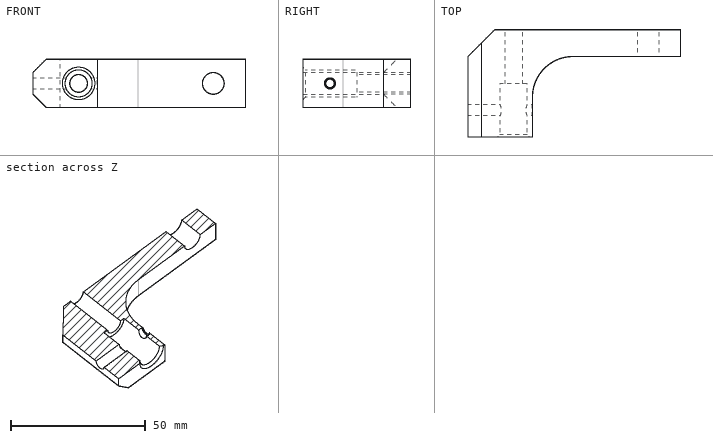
import cadquery as cq
import math

length = 79.0
depth = 40.0
height = 18.0

leg_width = 24.0
arm_thickness = 10.0
inner_corner_radius = 15.0
corner_cut = 10.0
edge_chamfer = 5.0

bore_x = 17.0
bore_diameter = 10.0
bore_depth = 20.0
bore_chamfer = 1.0
bore_through_diameter = 6.5

cross_hole_y = 10.0
cross_hole_diameter = 4.1
cross_hole_tip_x = 25.0
drill_point_angle = 118.0

mount_hole_x = 67.0
mount_hole_diameter = 8.0

mid_height = height / 2
along_x = (1, 0, 0)
along_y = (0, 1, 0)


def bracket_body():
    """L-shaped plate with a rounded inner corner and a cut outer corner."""
    arm_front_y = depth - arm_thickness
    body = (
        cq.Workplane("XY")
        .moveTo(0, 0)
        .lineTo(leg_width, 0)
        .lineTo(leg_width, arm_front_y - inner_corner_radius)
        .radiusArc((leg_width + inner_corner_radius, arm_front_y), inner_corner_radius)
        .lineTo(length, arm_front_y)
        .lineTo(length, depth)
        .lineTo(corner_cut, depth)
        .lineTo(0, depth - corner_cut)
        .close()
        .extrude(height)
    )
    return body.intersect(chamfered_envelope())


def chamfered_envelope():
    """Bar along Y, as large as the bracket, with both long -X edges chamfered."""
    return (
        cq.Workplane("XZ")
        .polyline([
            (edge_chamfer, 0),
            (length, 0),
            (length, height),
            (edge_chamfer, height),
            (0, height - edge_chamfer),
            (0, edge_chamfer),
        ])
        .close()
        .extrude(-depth)
    )


def straight_hole(start, direction, diameter, hole_depth):
    """Cylindrical cutter starting at a point and running in a direction."""
    return cq.Solid.makeCylinder(diameter / 2, hole_depth, cq.Vector(*start), cq.Vector(*direction))


def stepped_bore():
    """Flat-bottomed bore with a chamfered mouth and a narrower hole through its floor."""
    mouth = (bore_x, 0, mid_height)
    bore_radius = bore_diameter / 2
    mouth_cone = cq.Solid.makeCone(
        bore_radius + bore_chamfer,
        bore_radius,
        bore_chamfer,
        cq.Vector(*mouth),
        cq.Vector(*along_y),
    )
    return (
        straight_hole(mouth, along_y, bore_diameter, bore_depth)
        .fuse(straight_hole(mouth, along_y, bore_through_diameter, depth))
        .fuse(mouth_cone)
    )


def cross_hole():
    """Drilled hole from the -X face, ending in a conical point."""
    radius = cross_hole_diameter / 2
    point_length = radius / math.tan(math.radians(drill_point_angle / 2))
    straight_length = cross_hole_tip_x - point_length
    start = (0, cross_hole_y, mid_height)
    point_start = cq.Vector(straight_length, cross_hole_y, mid_height)
    point = cq.Solid.makeCone(radius, 0, point_length, point_start, cq.Vector(*along_x))
    return straight_hole(start, along_x, cross_hole_diameter, straight_length).fuse(point)


def mounting_hole():
    """Plain hole through the thickness of the arm."""
    start = (mount_hole_x, depth - arm_thickness, mid_height)
    return straight_hole(start, along_y, mount_hole_diameter, arm_thickness)


result = bracket_body().cut(stepped_bore()).cut(cross_hole()).cut(mounting_hole())